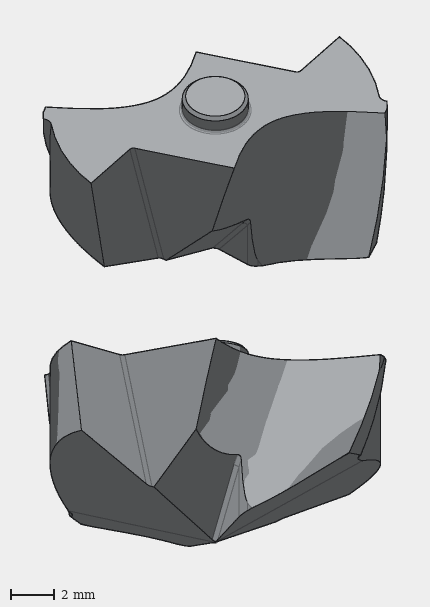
import cadquery as cq
import math


cut_radius = 7.95
relief_radius = 7.63
tip_depth = 8.55
twist_rate = 4.302
margin_start = 15.0
margin_end = 21.0
land_start = 23.8
step_angle = 21.6
step_radius = 7.79
land_end = 110.0

margin_flat_x = 7.57
margin_flat_slope = 0.24

flute_points = [(5.84, 1.64), (3.91, 0.9), (2.7, -0.08), (2.1, -1.4), (1.95, -2.55), (1.99, -3.58)]

primary_slopes = (-0.36, -0.13)
secondary_slopes = (-0.354, -0.40)

gash_floor_slopes = (1.08, -0.95)
gash_wall_end = (1.94, -1.27)
gash_bend_end = (2.48, -1.43)
gash_fillet = 0.2

web_half_width = 3.58
web_draft = 0.015
pocket_top_x = -2.95
pocket_side_slope_y = 0.38
pocket_side_slope_z = -0.20
pocket_fillet = 0.2

spigot_radius = 1.53
spigot_height = 0.86
spigot_chamfer = 0.16
spigot_root_fillet = 0.13

reach = 12.72


def polar(radius, degrees):
    angle = math.radians(degrees)
    return (radius * math.cos(angle), radius * math.sin(angle))


def opposite(point):
    return (-point[0], -point[1])


def half_space(origin, normal):
    """Large block on the side of a plane that the normal points to."""
    plane = cq.Plane(origin=origin, normal=normal)
    return cq.Workplane(plane).rect(4 * reach, 4 * reach).extrude(3 * reach)


def below_tip_plane(slopes):
    """Everything below a plane through the drill point."""
    return half_space((0, 0, -tip_depth), (slopes[0], slopes[1], -1))


def both_sides(cutter):
    return cutter.union(cutter.rotate((0, 0, 0), (0, 0, 1), 180))


def twisted_body():
    section = cq.Workplane("XY").moveTo(*polar(cut_radius, margin_start))
    for side in (lambda point: point, opposite):
        section = (
            section
            .threePointArc(
                side(polar(cut_radius, (margin_start + margin_end) / 2)),
                side(polar(cut_radius, margin_end)),
            )
            .threePointArc(side(polar(step_radius, step_angle)), side(polar(relief_radius, land_start)))
            .threePointArc(
                side(polar(relief_radius, (land_start + land_end) / 2)),
                side(polar(relief_radius, land_end)),
            )
            .lineTo(*side(opposite(flute_points[-1])))
        )
        inner_to_outer = [opposite(point) for point in reversed(flute_points[:-1])]
        inner_to_outer.append(opposite(polar(cut_radius, margin_start)))
        section = section.spline([side(point) for point in inner_to_outer], includeCurrent=True)
    return section.close().twistExtrude(-tip_depth, twist_rate * tip_depth)


def point_cutter():
    """Primary and secondary relief of the blade toward -X."""
    blade_half = half_space((0, 0, 0), (-1, 0, 0))
    relief = below_tip_plane(primary_slopes).union(below_tip_plane(secondary_slopes))
    return relief.intersect(blade_half)


def gash_cutter():
    """Sloping floor with an upright wall that follows the inner cutting edge."""
    outline = (
        cq.Workplane("XY", origin=(0, 0, -reach))
        .lineTo(*gash_wall_end)
        .tangentArcPoint(gash_bend_end, relative=False)
        .lineTo(reach, gash_bend_end[1])
        .lineTo(reach, -reach)
        .lineTo(-reach / 2, -reach)
        .close()
        .extrude(3 * reach)
    )
    gash = outline.intersect(below_tip_plane(gash_floor_slopes))
    floor_corner = cq.selectors.NearestToPointSelector(
        (
            gash_wall_end[0] / 2,
            gash_wall_end[1] / 2,
            -tip_depth
            + (gash_floor_slopes[0] * gash_wall_end[0] + gash_floor_slopes[1] * gash_wall_end[1]) / 2,
        )
    )
    return gash.edges(floor_corner).fillet(gash_fillet)


def pocket_cutter():
    """Space in front of the web, bounded by the blade's sloping side wall."""
    web_front = half_space((0, -web_half_width, 0), (0, -1, -web_draft))
    blade_side = half_space(
        (pocket_top_x, -web_half_width, 0),
        (1, -pocket_side_slope_y, -pocket_side_slope_z),
    )
    pocket = web_front.intersect(blade_side)
    corner = cq.selectors.NearestToPointSelector((pocket_top_x, -web_half_width, 0))
    return pocket.edges(corner).fillet(pocket_fillet)


def margin_flat_cutter():
    return half_space((margin_flat_x, 0, 0), (1, 0, margin_flat_slope))


def spigot():
    root_radius = spigot_radius + spigot_root_fillet
    fillet_offset = spigot_root_fillet * (1 - math.sqrt(0.5))
    return (
        cq.Workplane("XZ")
        .moveTo(0, -0.16)
        .lineTo(root_radius, -0.16)
        .lineTo(root_radius, 0)
        .threePointArc((spigot_radius + fillet_offset, fillet_offset), (spigot_radius, spigot_root_fillet))
        .lineTo(spigot_radius, spigot_height - spigot_chamfer)
        .lineTo(spigot_radius - spigot_chamfer, spigot_height)
        .lineTo(0, spigot_height)
        .close()
        .revolve(360, (0, 0, 0), (0, 1, 0))
    )


result = (
    twisted_body()
    .cut(both_sides(pocket_cutter()))
    .cut(both_sides(gash_cutter()))
    .cut(both_sides(point_cutter()))
    .cut(both_sides(margin_flat_cutter()))
    .union(spigot())
)